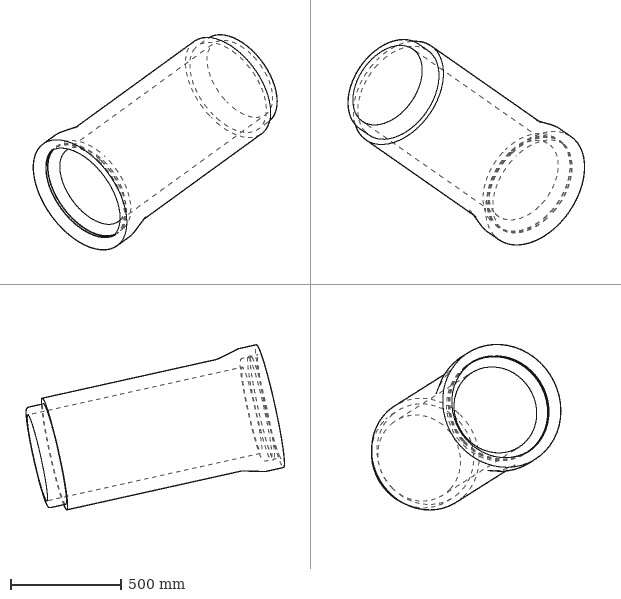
import cadquery as cq

TOTAL_LENGTH = 1085.0
BORE_RADIUS = 200.0
BARREL_RADIUS = 260.0

BELL_RADIUS = 286.0
BELL_LENGTH = 85.0
BELL_TAPER_LENGTH = 105.0

SOCKET_DEPTH = 85.0
SEAT_RADIUS = 239.0

GROOVE_OFFSET = 36.0
GROOVE_WIDTH = 12.0
GROOVE_DEPTH = 2.5

SPIGOT_RADIUS = 234.0
SPIGOT_LENGTH = 80.0

EDGE_ROUND = 10.0

MOUTH_Y = -TOTAL_LENGTH / 2
TIP_Y = TOTAL_LENGTH / 2
BELL_END_Y = MOUTH_Y + BELL_LENGTH
TAPER_END_Y = BELL_END_Y + BELL_TAPER_LENGTH
SHOULDER_Y = TIP_Y - SPIGOT_LENGTH
FLOOR_Y = MOUTH_Y + SOCKET_DEPTH
GROOVE_NEAR_Y = MOUTH_Y + GROOVE_OFFSET
GROOVE_FAR_Y = GROOVE_NEAR_Y + GROOVE_WIDTH
GROOVE_RADIUS = SEAT_RADIUS + GROOVE_DEPTH


def make_pipe():
    """Revolve the half section (radius along X, length along Y) about the Y axis."""
    half_section = (
        cq.Workplane("XY")
        .moveTo(BORE_RADIUS, FLOOR_Y)
        .lineTo(SEAT_RADIUS - EDGE_ROUND, FLOOR_Y)
        .radiusArc((SEAT_RADIUS, FLOOR_Y - EDGE_ROUND), EDGE_ROUND)
        .lineTo(SEAT_RADIUS, GROOVE_FAR_Y)
        .lineTo(GROOVE_RADIUS, GROOVE_FAR_Y)
        .lineTo(GROOVE_RADIUS, GROOVE_NEAR_Y)
        .lineTo(SEAT_RADIUS, GROOVE_NEAR_Y)
        .lineTo(SEAT_RADIUS, MOUTH_Y + EDGE_ROUND)
        .radiusArc((SEAT_RADIUS + EDGE_ROUND, MOUTH_Y), -EDGE_ROUND)
        .lineTo(BELL_RADIUS, MOUTH_Y)
        .lineTo(BELL_RADIUS, BELL_END_Y)
        .lineTo(BARREL_RADIUS, TAPER_END_Y)
        .lineTo(BARREL_RADIUS, SHOULDER_Y)
        .lineTo(SPIGOT_RADIUS, SHOULDER_Y)
        .lineTo(SPIGOT_RADIUS, TIP_Y - EDGE_ROUND)
        .radiusArc((SPIGOT_RADIUS - EDGE_ROUND, TIP_Y), -EDGE_ROUND)
        .lineTo(BORE_RADIUS, TIP_Y)
        .close()
    )
    return half_section.revolve(360, (0, 0, 0), (0, 1, 0))


result = make_pipe()